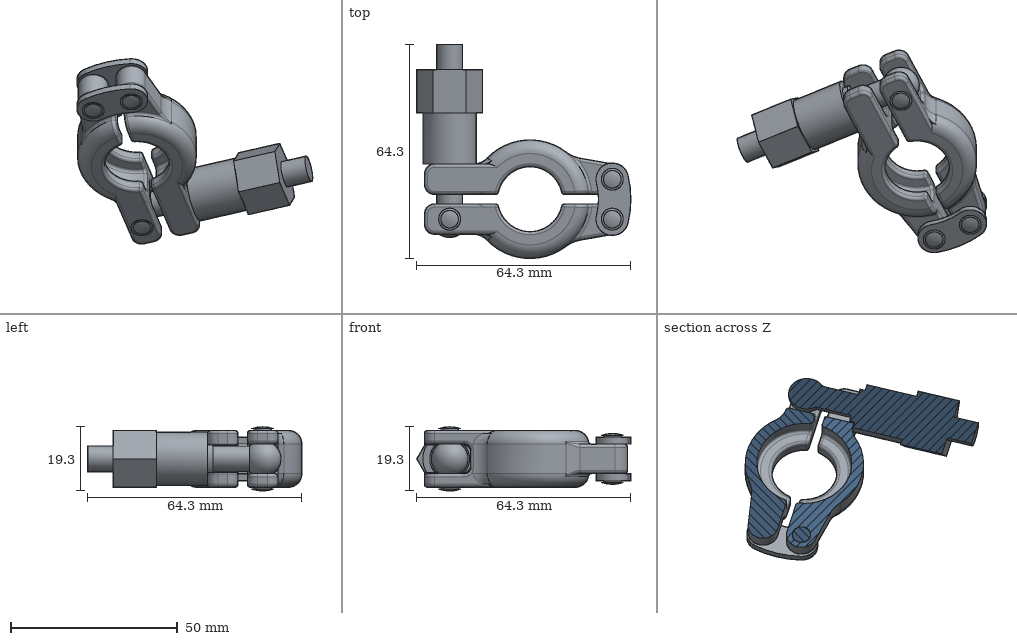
import cadquery as cq
import math

ring_radius = 17.8
half_height = 8.55
shoulder_radius = 4.1
bore_radius = 9.7
groove_radius = 14.15
groove_half_height = 4.2
edge_radius = 0.95
half_gap = 1.4

arm_end_x = -31.7
arm_outer_y = 10.55
arm_corner_radius = 3.1
arm_flare_radius = 5.8
flare_steps = 4
slot_floor_x = -17.9
slot_corner_radius = 1.9
ball_slot_half_height = 4.45
rod_slot_half_height = 4.1
rod_slot_edge_radius = 0.4

hinge_x = 24.7
pin_offset_y = 6.0
tongue_slope = 10.0
tongue_flare_radius = 10.0
link_half_width = 4.9
link_thickness = 2.1

pin_radius = 2.65
head_radius = 3.3
neck_height = 0.5
dome_height = 0.6

bolt_x = -24.1
ball_radius = 5.55
rod_radius = 3.9
rod_end_y = 46.5
nose_radius = 6.0
nose_length = 1.6
collar_radius = 8.05
collar_end_y = 25.9
hex_end_y = 38.9

tolerance = 0.03

shoulder_centre_radius = ring_radius - shoulder_radius
shoulder_start_z = half_height - shoulder_radius
tongue_half_height = shoulder_start_z
tongue_radius = pin_offset_y - half_gap
link_outer_z = tongue_half_height + link_thickness
link_path_radius = math.hypot(hinge_x, pin_offset_y)
link_inner_radius = link_path_radius - link_half_width
link_outer_radius = link_path_radius + link_half_width
pin_angle = math.degrees(math.atan2(pin_offset_y, hinge_x))
ball_y = -pin_offset_y
hex_width = 2 * half_height / math.cos(math.radians(30))


def slab(outline, half_thickness):
    """Extrude an XY outline equally above and below Z = 0."""
    return outline.extrude(half_thickness, both=True)


def with_lower_copy(shape):
    """Join a shape with its mirror image below Z = 0."""
    return shape.union(shape.mirror("XY"))


def polar(radius, degrees, centre=(0, 0)):
    angle = math.radians(degrees)
    return (centre[0] + radius * math.cos(angle), centre[1] + radius * math.sin(angle))


def bolt_cylinder(radius, start_y, end_y):
    """Cylinder along the bolt axis."""
    circle = cq.Workplane("XZ", origin=(bolt_x, start_y, 0)).circle(radius)
    return circle.extrude(start_y - end_y)


def fillet_where(shape, chosen, radius):
    """Fillet the edges for which chosen(midpoint, bounding box) is true."""
    edges = [e for e in shape.edges().vals() if chosen(e.positionAt(0.5), e.BoundingBox())]
    return shape.newObject(edges).fillet(radius)


def is_near(value, target):
    return abs(value - target) < tolerance


def pin(x, y, plate_z):
    """Pin along Z whose two heads stand on plates with outer faces at Z = +-plate_z."""
    neck_z = plate_z + neck_height
    dome_radius = (head_radius**2 + dome_height**2) / (2 * dome_height)
    dome_centre_z = neck_z + dome_height - dome_radius
    cap = cq.Workplane("XY").workplane(offset=neck_z).circle(head_radius).extrude(dome_height)
    dome = cq.Workplane("XY").sphere(dome_radius).translate((0, 0, dome_centre_z)).intersect(cap)
    shank = slab(cq.Workplane("XY").circle(pin_radius), neck_z)
    return shank.union(with_lower_copy(dome)).translate((x, y, 0))


def half_space():
    """Everything beyond the gap face."""
    size = 4 * ring_radius
    block = cq.Workplane("XY").box(size, size, size, centered=(True, False, True))
    return block.translate((0, half_gap, 0))


def ring_blank():
    disc = slab(cq.Workplane("XY").circle(ring_radius), half_height)
    return disc.edges().fillet(shoulder_radius)


def arm_blank():
    width = arm_outer_y - half_gap
    arm = cq.Workplane("XY").box(-arm_end_x, width, 2 * half_height, centered=(False, False, True))
    arm = arm.translate((arm_end_x, half_gap, 0))
    arm = arm.edges("|Z and <X").fillet(arm_corner_radius)
    return arm.edges("(>Z or <Z) and >Y").fillet(edge_radius)


def flare_section(z):
    """Outline at height z of the web between arm side and ring; it tapers away up the shoulder."""
    rise = (z - shoulder_start_z) / shoulder_radius
    local_radius = arm_flare_radius * math.sqrt(1 - rise**2)
    local_ring_radius = shoulder_centre_radius + shoulder_radius * math.sqrt(1 - rise**2)
    centre_y = arm_outer_y + local_radius
    centre_x = -math.sqrt((local_ring_radius + local_radius) ** 2 - centre_y**2)
    ring_direction = math.degrees(math.atan2(-centre_y, -centre_x))
    middle = polar(local_radius, (ring_direction - 90) / 2, (centre_x, centre_y))
    ring_point = polar(local_radius, ring_direction, (centre_x, centre_y))
    return (
        cq.Workplane("XY", origin=(0, 0, z)).moveTo(centre_x, arm_outer_y)
        .threePointArc(middle, ring_point).lineTo(ring_point[0], arm_outer_y).close()
    )


def arm_flare():
    """Concave web blending the arm side into the ring."""
    step_height = (half_height - edge_radius - shoulder_start_z) / flare_steps
    heights = [shoulder_start_z + step * step_height for step in range(flare_steps + 1)]
    middle = flare_section(shoulder_start_z).extrude(-2 * shoulder_start_z)
    taper = cq.Solid.makeLoft([flare_section(z).val() for z in heights])
    return middle.union(with_lower_copy(cq.Workplane(taper)))


def tongue_outline():
    """Round end about the hinge pin; the outer side slopes up and flares into the ring."""
    side_normal = 90 - tongue_slope
    hinge = (hinge_x, pin_offset_y)
    round_start = polar(tongue_radius, side_normal, hinge)
    normal_x, normal_y = polar(1, side_normal)
    side_distance = hinge_x * normal_x + pin_offset_y * normal_y + tongue_radius
    flare_centre_radius = ring_radius + tongue_flare_radius
    swing = math.degrees(math.acos((side_distance + tongue_flare_radius) / flare_centre_radius))
    ring_direction = side_normal - swing
    centre = polar(flare_centre_radius, ring_direction)
    flare_start = polar(tongue_flare_radius, side_normal + 180, centre)
    flare_middle = polar(tongue_flare_radius, ring_direction + 180 + swing / 2, centre)
    flare_end = polar(ring_radius, ring_direction)
    return (
        cq.Workplane("XY").moveTo(bore_radius, half_gap).lineTo(hinge_x, half_gap)
        .threePointArc((hinge_x + tongue_radius, pin_offset_y), round_start)
        .lineTo(*flare_start).threePointArc(flare_middle, flare_end)
        .lineTo(bore_radius, bore_radius).close()
    )


def tongue_cove():
    """Ring of concave fillet between the tongue faces and the rounded ring shoulder."""
    reach = shoulder_radius + edge_radius
    centre_z = tongue_half_height + edge_radius
    centre_r = shoulder_centre_radius + math.sqrt(reach**2 - edge_radius**2)
    ring_direction = math.degrees(math.atan2(-edge_radius, shoulder_centre_radius - centre_r))
    ring_direction += 360
    ring_point = polar(edge_radius, ring_direction, (centre_r, centre_z))
    middle = polar(edge_radius, (ring_direction + 270) / 2, (centre_r, centre_z))
    root_r = shoulder_centre_radius + shoulder_radius / 2
    profile = (
        cq.Workplane("XZ").moveTo(root_r, 0).lineTo(centre_r, 0).lineTo(centre_r, tongue_half_height)
        .threePointArc(middle, ring_point).lineTo(root_r, ring_point[1]).close()
    )
    return with_lower_copy(profile.revolve(360, (0, 0, 0), (0, 1, 0)))


def tongue():
    cove = tongue_cove().intersect(slab(tongue_outline(), half_height))
    return slab(tongue_outline(), tongue_half_height).union(cove)


def gap_edge_rounding():
    """Material outside the fillet along the arm's upper and lower gap edges."""
    start_x = arm_end_x + arm_corner_radius
    edge_line = (start_x, half_gap, half_height)
    centre_line = (start_x, half_gap + edge_radius, half_height - edge_radius)
    corner = cq.Workplane("YZ", origin=edge_line).rect(2 * edge_radius, 2 * edge_radius).extrude(-start_x)
    rounding = cq.Workplane("YZ", origin=centre_line).circle(edge_radius).extrude(-start_x)
    return with_lower_copy(corner.cut(rounding))


def flange_groove():
    groove = slab(cq.Workplane("XY").circle(groove_radius), groove_half_height)
    return groove.edges().fillet(edge_radius)


def round_jaw_edges(jaw):
    """Round the bore rims, the gap edges beside the bore and the rims of the tongue."""

    def bore_rim(mid, box):
        return is_near(abs(mid.z), half_height) and math.hypot(mid.x, mid.y) < bore_radius + tolerance

    def gap_edge(mid, box):
        on_gap_face = is_near(box.ymin, half_gap) and is_near(box.ymax, half_gap)
        tongue_end = mid.x > hinge_x - tolerance
        return on_gap_face and mid.x > -bore_radius and not tongue_end

    return fillet_where(jaw, lambda mid, box: bore_rim(mid, box) or gap_edge(mid, box), edge_radius)


def round_groove_lips(jaw):
    """Round the two lips where the flange groove opens into the bore."""

    def lip(mid, box):
        return is_near(abs(mid.z), groove_half_height) and math.hypot(mid.x, mid.y) < bore_radius + tolerance

    return fillet_where(jaw, lip, edge_radius)


def plain_jaw():
    """Jaw at +Y before its fork slot and pin holes are cut."""
    bore = slab(cq.Workplane("XY").circle(bore_radius), half_height)
    jaw = ring_blank().union(arm_blank()).union(tongue()).intersect(half_space())
    jaw = round_jaw_edges(jaw.cut(gap_edge_rounding()).cut(bore))
    jaw = round_groove_lips(jaw.cut(flange_groove()))
    return jaw.union(arm_flare())


def fork_slot(half_slot):
    """Slot between the two arms of a fork, open at the arm end."""
    length = slot_floor_x - 2 * arm_end_x
    slot = cq.Workplane("XY").box(length, 2 * arm_outer_y, 2 * half_slot)
    slot = slot.translate((slot_floor_x - length / 2, arm_outer_y, 0))
    return slot.edges("|Y and >X").fillet(slot_corner_radius)


def pin_hole(x, y):
    return slab(cq.Workplane("XY").circle(pin_radius), half_height).translate((x, y, 0))


def upper_jaw():
    """Jaw at +Y: slot for the rod, seat for the nut's nose and collar, and a hinge pin hole."""

    def gap_slot_rim(mid, box):
        on_gap_face = is_near(box.ymax, half_gap) and is_near(box.ymin, half_gap)
        beside_slot = arm_end_x + arm_corner_radius < mid.x < slot_floor_x + tolerance
        return on_gap_face and beside_slot and abs(mid.z) < rod_slot_half_height + tolerance

    jaw = plain_jaw().cut(fork_slot(rod_slot_half_height))
    jaw = fillet_where(jaw, gap_slot_rim, rod_slot_edge_radius)
    nose_recess = bolt_cylinder(nose_radius, arm_outer_y - nose_length, arm_outer_y)
    collar_clearance = bolt_cylinder(collar_radius, arm_outer_y, collar_end_y)
    return jaw.cut(pin_hole(hinge_x, pin_offset_y)).cut(nose_recess).cut(collar_clearance)


def link_plates():
    """Two plates in the shape of a round-ended arc slot about the ring axis."""
    inner = polar(link_inner_radius, pin_angle)
    outer = polar(link_outer_radius, pin_angle)
    end_tip = polar(link_half_width, pin_angle + 90, (hinge_x, pin_offset_y))
    plate = (
        cq.Workplane("XY").workplane(offset=tongue_half_height)
        .moveTo(outer[0], -outer[1]).threePointArc((link_outer_radius, 0), outer)
        .threePointArc(end_tip, inner).threePointArc((link_inner_radius, 0), (inner[0], -inner[1]))
        .threePointArc((end_tip[0], -end_tip[1]), (outer[0], -outer[1])).close()
        .extrude(link_thickness)
    )
    return with_lower_copy(plate)


def lower_jaw():
    """Jaw at -Y: slot for the ball, hole for the ball's pin, and the link with both hinge pins."""

    def slot_rim(mid, box):
        beside_slot = mid.x < slot_floor_x + tolerance and abs(mid.z) < ball_slot_half_height + tolerance
        crosses_arm = box.ymax - box.ymin > arm_outer_y / 2
        inside_slot = crosses_arm and mid.x > arm_end_x + arm_corner_radius
        return beside_slot and not inside_slot

    jaw = plain_jaw().cut(fork_slot(ball_slot_half_height))
    jaw = fillet_where(jaw, slot_rim, edge_radius).mirror("XZ")
    jaw = jaw.cut(pin_hole(bolt_x, ball_y)).union(link_plates())
    for side in (1, -1):
        jaw = jaw.union(pin(hinge_x, side * pin_offset_y, link_outer_z))
    return jaw


def swing_bolt():
    fork_gap = cq.Workplane("XY").box(4 * ball_radius, 4 * ball_radius, 2 * ball_slot_half_height)
    ball = cq.Workplane("XY").sphere(ball_radius).intersect(fork_gap).translate((bolt_x, ball_y, 0))
    rod = bolt_cylinder(rod_radius, ball_y, rod_end_y)
    nose = bolt_cylinder(nose_radius, arm_outer_y - nose_length, arm_outer_y)
    collar = bolt_cylinder(collar_radius, arm_outer_y, collar_end_y)
    hexagon = (
        cq.Workplane("XZ", origin=(bolt_x, collar_end_y, 0))
        .polygon(6, hex_width).extrude(collar_end_y - hex_end_y)
    )
    bolt = ball.union(rod).union(nose).union(collar).union(hexagon)
    return bolt.union(pin(bolt_x, ball_y, half_height))


result = cq.Compound.makeCompound([upper_jaw().val(), lower_jaw().val(), swing_bolt().val()])